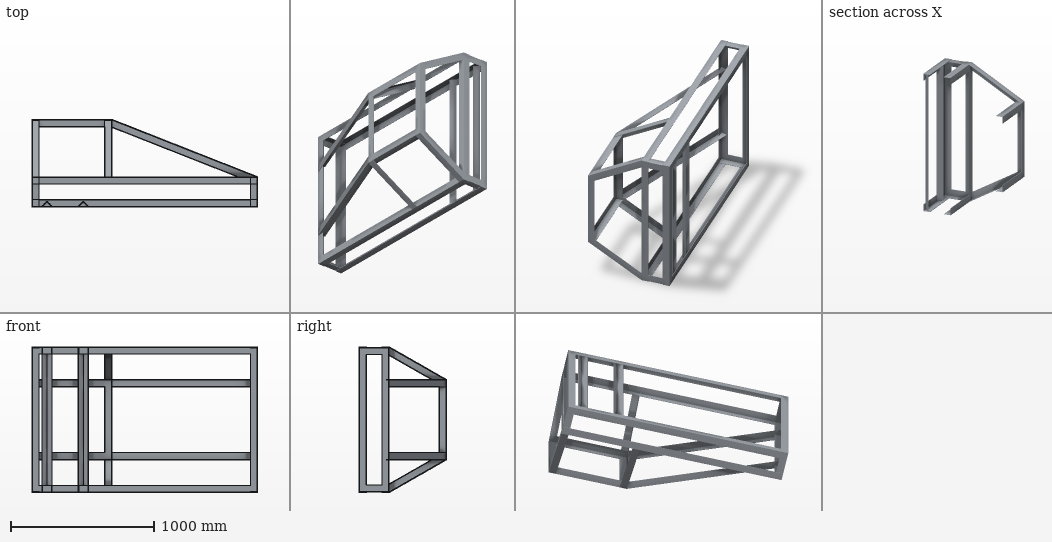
import cadquery as cq
import math

length = 1574.8
depth = 609.6
height = 1016.0
leg = 50.8
wall = 3.175
box_depth = 209.55
rear_length = 558.8
rear_inset = 228.6
brace_ridges = (105.6, 358.8)

rear_bottom = rear_inset
rear_top = height - rear_inset
slope_run = depth - box_depth
diagonal_run = length - rear_length
leg_reach = leg * math.sqrt(0.5)


def angle_bar(start, end, leg_a, leg_b):
    """Angle iron whose outer corner runs from start to end, its legs pointing along leg_a and leg_b."""
    corner = cq.Vector(*start)
    run = cq.Vector(*end) - corner
    along_a = cq.Vector(*leg_a).normalized()
    along_b = cq.Vector(*leg_b).normalized()
    section = [(0, 0), (leg, 0), (leg, wall), (wall, wall), (wall, leg), (0, leg)]
    points = [corner + along_a * a + along_b * b for a, b in section]
    face = cq.Face.makeFromWires(cq.Wire.makePolygon(points, close=True))
    return cq.Solid.extrudeLinear(face, run)


def front_box():
    """Box frame; its long rails lie over the short side rails, which sit one wall further in."""
    bars = []
    for y, inward_y in ((0, 1), (box_depth, -1)):
        for z, inward_z in ((0, 1), (height, -1)):
            bars.append(angle_bar((0, y, z), (length, y, z), (0, inward_y, 0), (0, 0, inward_z)))
    for x, inward_x in ((0, 1), (length, -1)):
        for y, inward_y in ((0, 1), (box_depth, -1)):
            bars.append(angle_bar((x, y, wall), (x, y, height - wall), (inward_x, 0, 0), (0, inward_y, 0)))
        for z, inward_z in ((wall, 1), (height - wall, -1)):
            bars.append(angle_bar((x, 0, z), (x, box_depth, z), (inward_x, 0, 0), (0, 0, inward_z)))
    return bars


def front_braces():
    """Uprights with their ridge pointing back, held between the rails behind the front legs."""
    ridge_y = wall + leg_reach
    return [
        angle_bar((x, ridge_y, wall), (x, ridge_y, height - wall), (-1, -1, 0), (1, -1, 0))
        for x in brace_ridges
    ]


def rear_frame():
    """Raised rear frame: two upright ends with sloped bars to the box, joined by two rails."""
    bars = []
    for x, inward_x in ((0, 1), (rear_length, -1)):
        bars.append(angle_bar((x, depth, rear_bottom), (x, depth, rear_top), (inward_x, 0, 0), (0, -1, 0)))
        for z_box, z_rear, inward_z in ((0, rear_bottom, 1), (height, rear_top, -1)):
            square_to_slope = (0, -rear_inset, inward_z * slope_run)
            bars.append(angle_bar((x, box_depth, z_box), (x, depth, z_rear), (inward_x, 0, 0), square_to_slope))
    for z, inward_z in ((rear_bottom, 1), (rear_top, -1)):
        bars.append(angle_bar((0, depth, z), (rear_length, depth, z), (0, -1, 0), (0, 0, inward_z)))
    return bars


def diagonals():
    """Level bars from the rear frame forward to the far back corner posts of the box."""
    square_to_run = (-slope_run, -diagonal_run, 0)
    return [
        angle_bar((rear_length, depth, z), (length, box_depth, z), square_to_run, (0, 0, inward_z))
        for z, inward_z in ((rear_bottom, 1), (rear_top, -1))
    ]


bars = front_box() + front_braces() + rear_frame() + diagonals()
result = cq.Workplane(bars[0].fuse(*bars[1:]).clean())